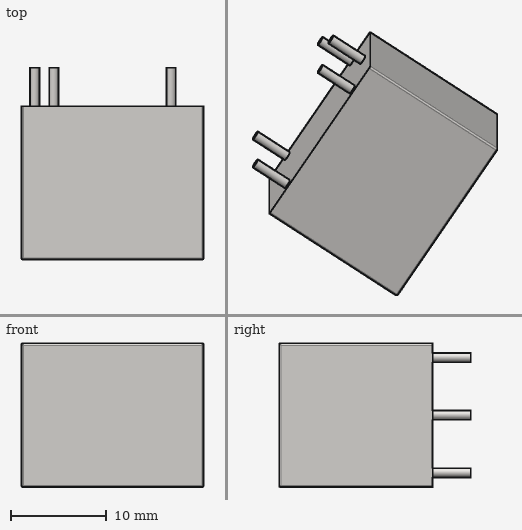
import cadquery as cq

body_width = 19.0
body_depth = 16.0
body_height = 15.0
edge_radius = 0.2

pin_diameter = 1.0
pin_length = 4.0
common_pin_inset = 1.4
coil_pin_spacing = 2.0
contact_pin_spacing = 14.2
common_pin_x = -body_width / 2 + common_pin_inset
coil_pin_x = common_pin_x + coil_pin_spacing
contact_pin_x = common_pin_x + contact_pin_spacing
pin_row_offset = 6.0

pin_positions = [(common_pin_x, 0)]
for pair_x in (coil_pin_x, contact_pin_x):
    for side in (-1, 1):
        pin_positions.append((pair_x, side * pin_row_offset))


def make_body():
    """Block rounded on every edge except those around the rear face."""
    block = cq.Workplane("XY").box(body_width, body_depth, body_height)
    block = block.translate((0, -body_depth / 2, 0))
    return block.edges("|Y or <Y").fillet(edge_radius)


def make_pin(x, z):
    """Pin running along +Y from the rear face."""
    axis_start = cq.Vector(x, 0, z)
    axis_direction = cq.Vector(0, 1, 0)
    return cq.Solid.makeCylinder(pin_diameter / 2, pin_length, axis_start, axis_direction)


result = make_body()
for pin_x, pin_z in pin_positions:
    result = result.union(make_pin(pin_x, pin_z))